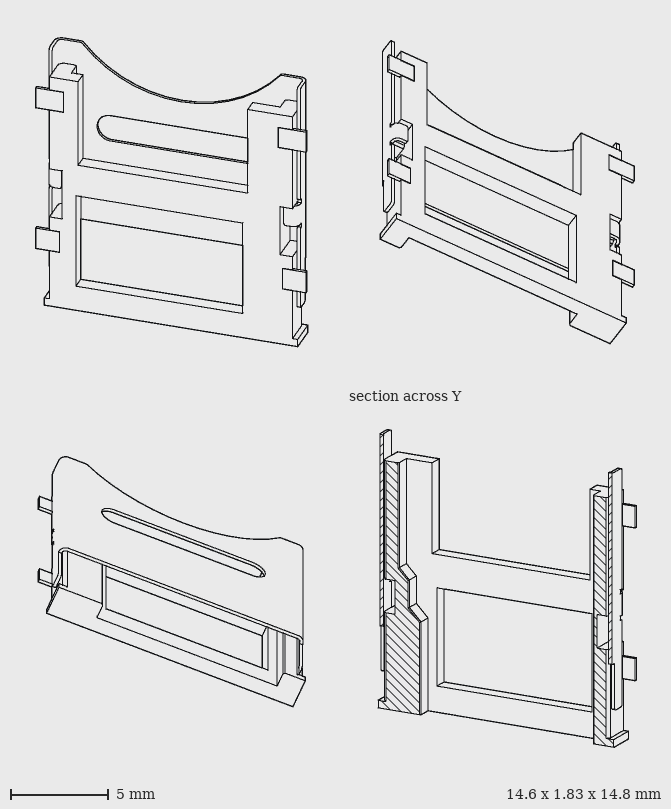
import cadquery as cq
import math

TOTAL_DEPTH = 1.83
TOTAL_HEIGHT = 14.75

SHEET = 0.18
COVER_HALF_WIDTH = 6.78
BEND_RADIUS = 0.4
COVER_BOTTOM = 4.44
WALL_FRONT = 0.6
WALL_BOTTOM = 1.92
WALL_CORNER_RADIUS = 0.18
SCOOP_RADIUS = 7.0
SCOOP_LOW_POINT = 12.24
SCOOP_TIP_RADIUS = 0.15
SLOT_HALF_LENGTH = 4.55
SLOT_RADIUS = 0.74
SLOT_HEIGHT = 10.02

FLAP_BOTTOM = 6.81
FLAP_TOP = 8.01
FLAP_FRONT = 0.28
FLAP_TIP = 6.0
FLAP_CORNER_RADIUS = 0.12
RELIEF_WIDTH = 0.22
RELIEF_BACK = 0.77
RELIEF_CORNER_RADIUS = 0.1

FRAME_FRONT = 0.03
FRAME_BACK = TOTAL_DEPTH - SHEET
FRAME_HALF_WIDTH = 6.56
FRAME_TOP = 13.38
FRAME_CHAMFER = 0.19
WEB_BACK = 0.81
FOOT_HALF_WIDTH = 6.85
FOOT_HEIGHT = 0.43

CHANNEL_HALF_WIDTH = 5.63
STOP_UPPER_X = 5.06
STOP_LOWER_X = 4.38
STOP_LOWER_RAMP_START = 5.0
STOP_STEP_HEIGHT = 1.48
CHANNEL_CHAMFER = 0.09

UPPER_OPENING_LEFT = -5.02
UPPER_OPENING_RIGHT = 4.15
UPPER_OPENING_BOTTOM = 8.5
WINDOW_LEFT = -5.13
WINDOW_RIGHT = 3.86
WINDOW_BOTTOM = 1.42
WINDOW_TOP = 6.7

NOTCH_INNER_X = 5.89
NOTCH_BOTTOM = 5.2
LEDGE_BOTTOM_FRONT = 7.12
LEDGE_BEVEL = 0.13

TAB_OUTER_X = 7.3
TAB_BACK = 0.18
UPPER_TAB_INNER_X = 5.8
UPPER_TAB_BOTTOM = 11.46
UPPER_TAB_TOP = 12.63
LOWER_TAB_INNER_X = 6.02
LOWER_TAB_BOTTOM = 3.25
LOWER_TAB_TOP = COVER_BOTTOM

PICK_MARGIN = 0.01


def block(x_range, y_range, z_range):
    """Box spanning the given (low, high) ranges along X, Y and Z."""
    starts = [low for low, high in (x_range, y_range, z_range)]
    lengths = [high - low for low, high in (x_range, y_range, z_range)]
    return cq.Workplane("XY").box(*lengths, centered=False).translate(tuple(starts))


def both_sides(left_part):
    """The given left-hand part together with its mirror image about the centre plane."""
    return left_part.union(left_part.mirror("YZ"))


def cover_shell():
    """Bent sheet: back panel, two bends and two side walls, full height."""

    def rounded_block(half_width, back, radius):
        return (
            block((-half_width, half_width), (WALL_FRONT, back), (0, TOTAL_HEIGHT))
            .edges("|Z and >Y")
            .fillet(radius)
        )

    outer = rounded_block(COVER_HALF_WIDTH, TOTAL_DEPTH, BEND_RADIUS)
    inner = rounded_block(COVER_HALF_WIDTH - SHEET, FRAME_BACK, BEND_RADIUS - SHEET)
    return outer.cut(inner)


def panel_outline():
    """Front outline of the back panel and bends, with the finger scoop in its upper edge."""
    scoop_centre = SCOOP_LOW_POINT + SCOOP_RADIUS
    panel = block(
        (-COVER_HALF_WIDTH, COVER_HALF_WIDTH), (0, TOTAL_DEPTH), (COVER_BOTTOM, TOTAL_HEIGHT)
    )
    scoop = (
        cq.Workplane("XZ")
        .center(0, scoop_centre)
        .circle(SCOOP_RADIUS)
        .extrude(-TOTAL_DEPTH)
    )
    tip_x = math.sqrt(SCOOP_RADIUS**2 - (scoop_centre - TOTAL_HEIGHT) ** 2)
    tips = cq.selectors.BoxSelector(
        (-tip_x - PICK_MARGIN, 0, TOTAL_HEIGHT - PICK_MARGIN),
        (tip_x + PICK_MARGIN, TOTAL_DEPTH, TOTAL_HEIGHT + PICK_MARGIN),
    )
    return panel.cut(scoop).edges("|Y").edges(tips).fillet(SCOOP_TIP_RADIUS)


def finger_slot():
    """Round-ended slot through the back panel."""
    return (
        cq.Workplane("XZ")
        .center(0, SLOT_HEIGHT)
        .slot2D(2 * SLOT_HALF_LENGTH, 2 * SLOT_RADIUS)
        .extrude(-TOTAL_DEPTH)
    )


def wall_outline():
    """Side outline of the left wall: rounded corners, and a relief where the flap leaves it."""
    bend_line = TOTAL_DEPTH - BEND_RADIUS
    across = (-COVER_HALF_WIDTH, -COVER_HALF_WIDTH + BEND_RADIUS)
    wall = (
        block(across, (WALL_FRONT, bend_line), (WALL_BOTTOM, TOTAL_HEIGHT))
        .edges("|X and (<Y or <Z)")
        .fillet(WALL_CORNER_RADIUS)
    )
    relief = block(
        across, (WALL_FRONT, RELIEF_BACK), (FLAP_BOTTOM - RELIEF_WIDTH, FLAP_TOP + RELIEF_WIDTH)
    )
    mouth = cq.selectors.BoxSelector(
        (-COVER_HALF_WIDTH, WALL_FRONT - PICK_MARGIN, FLAP_BOTTOM - 2 * RELIEF_WIDTH),
        (0, WALL_FRONT + PICK_MARGIN, FLAP_TOP + 2 * RELIEF_WIDTH),
    )
    return wall.cut(relief).edges("|X").edges(mouth).fillet(RELIEF_CORNER_RADIUS)


def flap():
    """Left latch flap: a short stub of wall, a quarter bend and a flat tongue."""
    bend_x = -COVER_HALF_WIDTH + BEND_RADIUS
    bend_y = FLAP_FRONT + BEND_RADIUS
    inner_radius = BEND_RADIUS - SHEET
    diagonal = math.sqrt(0.5)
    strip = (
        cq.Workplane("XY", origin=(0, 0, FLAP_BOTTOM))
        .moveTo(-COVER_HALF_WIDTH, RELIEF_BACK)
        .lineTo(-COVER_HALF_WIDTH, bend_y)
        .threePointArc(
            (bend_x - BEND_RADIUS * diagonal, bend_y - BEND_RADIUS * diagonal),
            (bend_x, FLAP_FRONT),
        )
        .lineTo(-FLAP_TIP, FLAP_FRONT)
        .lineTo(-FLAP_TIP, FLAP_FRONT + SHEET)
        .lineTo(bend_x, FLAP_FRONT + SHEET)
        .threePointArc(
            (bend_x - inner_radius * diagonal, bend_y - inner_radius * diagonal),
            (bend_x - inner_radius, bend_y),
        )
        .lineTo(bend_x - inner_radius, RELIEF_BACK)
        .close()
        .extrude(FLAP_TOP - FLAP_BOTTOM)
    )
    return strip.edges("|Y and >X").fillet(FLAP_CORNER_RADIUS)


def make_cover():
    """Bent sheet trimmed to the panel and wall outlines, with a flap on each side."""
    outline = panel_outline().cut(finger_slot())
    walls = both_sides(wall_outline())
    wall_space = block(
        (-COVER_HALF_WIDTH, COVER_HALF_WIDTH), (0, TOTAL_DEPTH - BEND_RADIUS), (0, TOTAL_HEIGHT)
    )
    shell = cover_shell()
    panel = shell.cut(wall_space).intersect(outline)
    return panel.union(shell.intersect(walls)).union(both_sides(flap()))


def frame_body():
    """Outer block with chamfered back edges, standing on a slightly wider foot."""
    depth = (FRAME_FRONT, FRAME_BACK)
    body = (
        block((-FRAME_HALF_WIDTH, FRAME_HALF_WIDTH), depth, (0, FRAME_TOP))
        .edges("|Z and >Y")
        .chamfer(FRAME_CHAMFER)
    )
    foot = block((-FOOT_HALF_WIDTH, FOOT_HALF_WIDTH), depth, (0, FOOT_HEIGHT))
    return body.union(foot)


def card_channel():
    """Space for the card, open at both ends and at the back."""
    lower_ramp_end = STOP_LOWER_RAMP_START + STOP_UPPER_X - STOP_LOWER_X
    upper_ramp_start = lower_ramp_end + STOP_STEP_HEIGHT
    upper_ramp_end = upper_ramp_start + CHANNEL_HALF_WIDTH - STOP_UPPER_X
    channel = (
        cq.Workplane("XZ", origin=(0, WEB_BACK, 0))
        .moveTo(-CHANNEL_HALF_WIDTH, 0)
        .lineTo(STOP_LOWER_X, 0)
        .lineTo(STOP_LOWER_X, STOP_LOWER_RAMP_START)
        .lineTo(STOP_UPPER_X, lower_ramp_end)
        .lineTo(STOP_UPPER_X, upper_ramp_start)
        .lineTo(CHANNEL_HALF_WIDTH, upper_ramp_end)
        .lineTo(CHANNEL_HALF_WIDTH, FRAME_TOP)
        .lineTo(-CHANNEL_HALF_WIDTH, FRAME_TOP)
        .close()
    )
    return channel.extrude(WEB_BACK - FRAME_BACK)


def side_notch():
    """Left notch for the flap; it runs to the back only below the bevelled ledge."""
    across = (-FOOT_HALF_WIDTH, -NOTCH_INNER_X)
    ledge_bottom_back = LEDGE_BOTTOM_FRONT - LEDGE_BEVEL
    pocket = (
        cq.Workplane("YZ", origin=(across[0], 0, 0))
        .moveTo(0, NOTCH_BOTTOM)
        .lineTo(FRAME_BACK, NOTCH_BOTTOM)
        .lineTo(FRAME_BACK, ledge_bottom_back)
        .lineTo(WEB_BACK + LEDGE_BEVEL, ledge_bottom_back)
        .lineTo(WEB_BACK, LEDGE_BOTTOM_FRONT)
        .lineTo(WEB_BACK, FLAP_TOP)
        .lineTo(0, FLAP_TOP)
        .close()
    )
    return pocket.extrude(across[1] - across[0])


def solder_tabs():
    """Upper and lower tab on the left side, just proud of the frame's front face."""
    depth = (0, TAB_BACK)
    upper = block((-TAB_OUTER_X, -UPPER_TAB_INNER_X), depth, (UPPER_TAB_BOTTOM, UPPER_TAB_TOP))
    lower = block((-TAB_OUTER_X, -LOWER_TAB_INNER_X), depth, (LOWER_TAB_BOTTOM, LOWER_TAB_TOP))
    return upper.union(lower)


def make_frame():
    """Plastic frame with its card channel, openings, notches and tabs."""
    web_depth = (0, WEB_BACK)
    upper_opening = block(
        (UPPER_OPENING_LEFT, UPPER_OPENING_RIGHT), web_depth, (UPPER_OPENING_BOTTOM, FRAME_TOP)
    )
    window = block((WINDOW_LEFT, WINDOW_RIGHT), web_depth, (WINDOW_BOTTOM, WINDOW_TOP))
    channel_rim = cq.selectors.BoxSelector(
        (-CHANNEL_HALF_WIDTH - PICK_MARGIN, FRAME_BACK - PICK_MARGIN, PICK_MARGIN),
        (CHANNEL_HALF_WIDTH + PICK_MARGIN, FRAME_BACK + PICK_MARGIN, FRAME_TOP - PICK_MARGIN),
    )
    return (
        frame_body()
        .cut(card_channel())
        .edges(channel_rim)
        .chamfer(CHANNEL_CHAMFER)
        .cut(upper_opening)
        .cut(window)
        .cut(both_sides(side_notch()))
        .union(both_sides(solder_tabs()))
    )


cover = make_cover()
frame = make_frame()
result = cq.Compound.makeCompound([cover.solids().val(), frame.solids().val()])